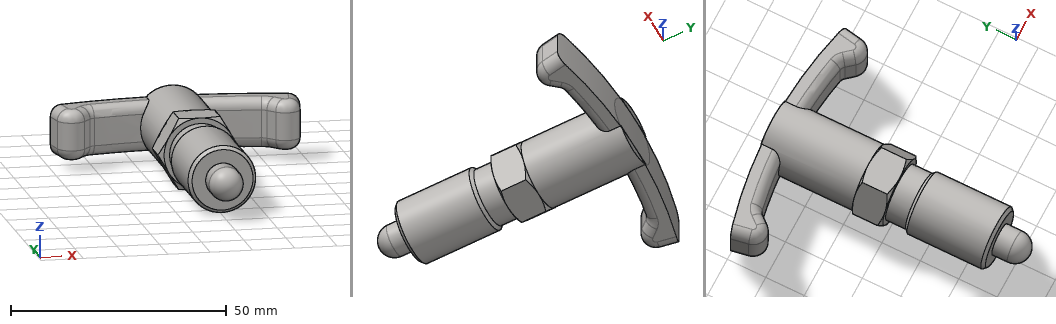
import cadquery as cq
import math


handle_span = 59.0
handle_thickness = 12.0
tip_drop = 4.0
bar_depth = 5.5
end_taper = math.radians(10.0)
hook_slope = math.radians(50.0)
nose_radius = 3.5
nose_depth = 11.3
hook_root_radius = 2.0
edge_radius = 2.7
sleeve_diameter = 17.0
sleeve_length = 25.0
trim_clearance = 1.0
selection_tolerance = 0.01

hex_flats = 17.0
hex_length = 8.0
hex_chamfer_angle = math.radians(30.0)
neck_diameter = 14.4
neck_length = 6.0
barrel_diameter = 16.0
barrel_length = 20.0
barrel_chamfer = (barrel_diameter - neck_diameter) / 2
pin_diameter = 8.0
pin_length = 8.0

half_span = handle_span / 2
top_radius = (half_span**2 + tip_drop**2) / (2 * tip_drop)
underside_radius = top_radius - bar_depth


def curved_top():
    """Open path along the curved top of the bar, from the -X tip to the +X tip."""
    return (
        cq.Workplane("XY")
        .moveTo(-half_span, -tip_drop)
        .threePointArc((0, 0), (half_span, -tip_drop))
    )


def handle_outline():
    """Closed outline of the bar with its hooked ends, and the +X corner at the foot of a hook."""
    nose_y = nose_radius - nose_depth
    end_face_x = half_span - (-tip_drop - nose_y) * math.tan(end_taper)
    nose_x = end_face_x - nose_radius / math.cos(end_taper)

    def nose_point(angle):
        return (nose_x + nose_radius * math.cos(angle), nose_y + nose_radius * math.sin(angle))

    nose_start = nose_point(-end_taper)
    nose_bottom = nose_point(-math.pi / 2)
    nose_end = nose_point(-math.pi / 2 - hook_slope)

    slope_x = -math.cos(hook_slope)
    slope_y = math.sin(hook_slope)
    from_centre_y = nose_end[1] + top_radius
    along = nose_end[0] * slope_x + from_centre_y * slope_y
    excess = nose_end[0]**2 + from_centre_y**2 - underside_radius**2
    travel = -along + math.sqrt(along**2 - excess)
    root = (nose_end[0] + travel * slope_x, nose_end[1] + travel * slope_y)

    def mirrored(point):
        return (-point[0], point[1])

    outline = (
        curved_top()
        .lineTo(*nose_start)
        .threePointArc(nose_bottom, nose_end)
        .lineTo(*root)
        .threePointArc((0, -bar_depth), mirrored(root))
        .lineTo(*mirrored(nose_end))
        .threePointArc(mirrored(nose_bottom), mirrored(nose_start))
        .close()
    )
    return outline, root


def make_bar():
    """Curved bar, rounded along its gripping edges; the edges of the curved top stay sharp."""
    outline, root = handle_outline()
    bar = outline.extrude(handle_thickness / 2, both=True)
    for side in (-1, 1):
        root_edge = cq.selectors.NearestToPointSelector((side * root[0], root[1], 0))
        bar = bar.edges("|Z").edges(root_edge).fillet(hook_root_radius)

    def is_gripping_edge(edge):
        middle = edge.positionAt(0.5)
        return math.hypot(middle.x, middle.y + top_radius) < top_radius - selection_tolerance

    side_edges = bar.faces("|Z").edges().vals()
    gripping_edges = [edge for edge in side_edges if is_gripping_edge(edge)]
    return bar.newObject(gripping_edges).fillet(edge_radius)


def make_sleeve():
    """Round sleeve whose end follows the curved top across the thickness of the bar."""
    sleeve = cq.Workplane("XZ").circle(sleeve_diameter / 2).extrude(sleeve_length)
    above_bar = (
        curved_top()
        .lineTo(half_span, trim_clearance)
        .lineTo(-half_span, trim_clearance)
        .close()
        .extrude(handle_thickness / 2, both=True)
    )
    return sleeve.cut(above_bar)


def make_hexagon():
    """Hexagon with corners on the X axis, its corners chamfered at both ends."""
    corner_diameter = hex_flats / math.cos(math.pi / 6)
    corner_radius = corner_diameter / 2
    flat_radius = hex_flats / 2
    chamfer_length = (corner_radius - flat_radius) * math.tan(hex_chamfer_angle)
    hexagon = cq.Workplane("XZ").polygon(6, corner_diameter).extrude(hex_length)
    turned_blank = (
        cq.Workplane("XY")
        .moveTo(0, 0)
        .lineTo(flat_radius, 0)
        .lineTo(corner_radius, -chamfer_length)
        .lineTo(corner_radius, chamfer_length - hex_length)
        .lineTo(flat_radius, -hex_length)
        .lineTo(0, -hex_length)
        .close()
        .revolve(360, (0, 0), (0, 1))
    )
    return hexagon.intersect(turned_blank).translate((0, -sleeve_length, 0))


def make_shank():
    """Turned neck, barrel and round-tipped pin below the hexagon."""
    neck_radius = neck_diameter / 2
    barrel_radius = barrel_diameter / 2
    pin_radius = pin_diameter / 2
    neck_top = -sleeve_length - hex_length
    barrel_top = neck_top - neck_length
    barrel_end = barrel_top - barrel_length
    pin_tip = barrel_end - pin_length
    tip_centre = pin_tip + pin_radius
    tip_mid = (pin_radius * math.sin(math.pi / 4), tip_centre - pin_radius * math.cos(math.pi / 4))
    return (
        cq.Workplane("XY")
        .moveTo(0, neck_top)
        .lineTo(neck_radius, neck_top)
        .lineTo(neck_radius, barrel_top + barrel_chamfer)
        .lineTo(barrel_radius, barrel_top)
        .lineTo(barrel_radius, barrel_end + barrel_chamfer)
        .lineTo(barrel_radius - barrel_chamfer, barrel_end)
        .lineTo(pin_radius, barrel_end)
        .lineTo(pin_radius, tip_centre)
        .threePointArc(tip_mid, (0, pin_tip))
        .close()
        .revolve(360, (0, 0), (0, 1))
    )


handle = make_bar().union(make_sleeve())
plunger = make_hexagon().union(make_shank())

result = cq.Compound.makeCompound([handle.val(), plunger.val()])